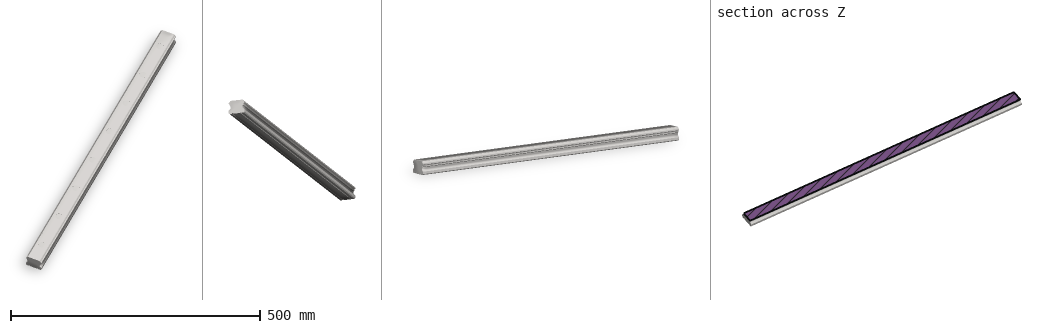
import cadquery as cq

length = 640.0
width = 34.0
height = 27.5

half_width = width / 2
top_half_width = 13.0
upper_race_half_width = 14.0
lower_race_half_width = 15.0
waist_half_width = 13.0

upper_race_top = 26.0
upper_race_bottom = 24.0
lower_race_top = 21.0
lower_race_bottom = 16.5
waist_top = 15.5
waist_bottom = 11.0
foot_top = 7.0
foot_chamfer = 2.0

race_radius = 4.0
waist_fillet = 2.5

groove_offset = 9.0
groove_radius = 1.0

hole_count = 8
hole_pitch = length / hole_count
hole_diameter = 14.0
hole_depth = 0.3


def half_rail():
    """Right half of the rail, with concave ball races above and below the shoulder."""
    return (
        cq.Workplane("XZ")
        .lineTo(half_width - foot_chamfer, 0)
        .lineTo(half_width, foot_chamfer)
        .lineTo(half_width, foot_top)
        .lineTo(waist_half_width, waist_bottom)
        .lineTo(waist_half_width, waist_top)
        .lineTo(lower_race_half_width, lower_race_bottom)
        .radiusArc((half_width, lower_race_top), race_radius)
        .lineTo(half_width, upper_race_bottom)
        .radiusArc((upper_race_half_width, upper_race_top), race_radius)
        .lineTo(top_half_width, height)
        .lineTo(0, height)
        .close()
        .extrude(length / 2, both=True)
        .edges(cq.selectors.NearestToPointSelector((waist_half_width, 0, waist_bottom)))
        .fillet(waist_fillet)
    )


def rail_body():
    """Both mirrored halves of the rail joined at the centre plane."""
    half = half_rail()
    return half.union(half.mirror("YZ")).clean()


def underside_grooves():
    """Pair of half-round grooves running the full length of the underside."""
    return (
        cq.Workplane("XZ")
        .pushPoints([(-groove_offset, 0), (groove_offset, 0)])
        .circle(groove_radius)
        .extrude(length / 2, both=True)
    )


def top_recesses():
    """Shallow round recesses, evenly spaced with half a pitch at each end."""
    return (
        cq.Workplane("XY", origin=(0, 0, height - hole_depth))
        .rarray(6.5, hole_pitch, 1, hole_count)
        .circle(hole_diameter / 2)
        .extrude(hole_depth)
    )


result = rail_body().cut(underside_grooves()).cut(top_recesses())